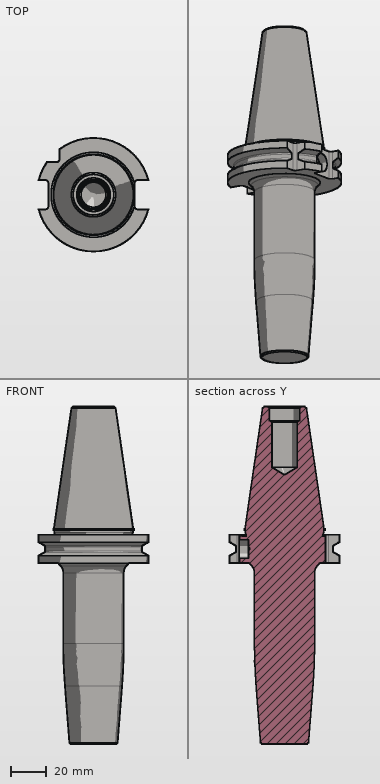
import cadquery as cq
import math

total_length = 188.4
taper_length = 68.4
nose_z = taper_length - total_length

gauge_radius = 22.2
taper_ratio = 7 / 24
tip_radius = gauge_radius - taper_length * taper_ratio / 2
tip_chamfer = 1.0
collar_radius = 22.6
collar_height = 0.8
neck_radius = 22.0
neck_relief_z = -1.7
neck_relief_radius = 21.5

flange_radius = 63.5 / 2
flange_top_z = -3.2
flange_bottom_z = -19.0
groove_mid_z = -11.1
groove_floor_radius = 28.3
groove_floor_half_height = 1.7
groove_floor_fillet = 1.0
groove_wall_angle = 30.0
groove_mouth_half_height = groove_floor_half_height + (
    (flange_radius - groove_floor_radius) * math.tan(math.radians(groove_wall_angle))
)

undercut_radius = 23.7
undercut_depth = 0.8

shank_radius = 17.0
shoulder_radius = 20.0
shoulder_fillet = 5.7
nose_radius = 27.0 / 2
nose_angle = 4.5
nose_chamfer = 0.8
blend_half_length = 11.9
nose_slope = math.tan(math.radians(nose_angle))
nose_cone_top_z = nose_z + (shank_radius - nose_radius) / nose_slope

slot_width = 16.2
left_slot_floor = 25.2
right_slot_floor = 23.0
slot_corner_radius = 1.5
notch_x = -19.0
notch_y = 18.3
notch_corner_radius = 1.5
side_hole_radius = 5.0
side_hole_depth = 5.0
centre_mark_radius = 0.4
centre_mark_depth = 0.5

bore_mouth_radius = 9.5
bore_radius = 8.5
bore_depth = 8.0
thread_mouth_radius = 8.0
thread_radius = 7.0
thread_depth = 34.0
drill_half_angle = 59.0


def revolve_about_z(points):
    """Solid of revolution from (radius, z) points."""
    return cq.Workplane("XZ").polyline(points).close().revolve(360, (0, 0, 0), (0, 1, 0))


def make_taper_and_flange():
    tip_chamfer_z = taper_length - tip_chamfer
    return revolve_about_z([
        (0, taper_length),
        (tip_radius - tip_chamfer, taper_length),
        (tip_radius + tip_chamfer * taper_ratio / 2, tip_chamfer_z),
        (gauge_radius, 0),
        (collar_radius, 0),
        (collar_radius, -collar_height),
        (neck_radius, -collar_height),
        (neck_radius, neck_relief_z),
        (neck_relief_radius, flange_top_z - undercut_depth),
        (undercut_radius, flange_top_z - undercut_depth),
        (undercut_radius, flange_top_z),
        (flange_radius, flange_top_z),
        (flange_radius, flange_bottom_z),
        (0, flange_bottom_z),
    ])


def make_groove():
    return revolve_about_z([
        (flange_radius, groove_mid_z + groove_mouth_half_height),
        (groove_floor_radius, groove_mid_z + groove_floor_half_height),
        (groove_floor_radius, groove_mid_z - groove_floor_half_height),
        (flange_radius, groove_mid_z - groove_mouth_half_height),
    ]).edges(cq.selectors.RadiusNthSelector(0)).fillet(groove_floor_fillet)


def make_shank():
    shoulder_end_z = flange_bottom_z - (shoulder_radius - shank_radius)
    fillet_setback = shoulder_fillet * math.tan(math.radians(45 / 2))
    fillet_offset = fillet_setback * math.cos(math.radians(45))
    blend_offset = blend_half_length * math.sin(math.radians(nose_angle))
    blend_drop = blend_half_length * math.cos(math.radians(nose_angle))
    return (
        cq.Workplane("XZ")
        .moveTo(0, flange_bottom_z)
        .lineTo(shoulder_radius, flange_bottom_z)
        .lineTo(shank_radius + fillet_offset, shoulder_end_z + fillet_offset)
        .tangentArcPoint((shank_radius, shoulder_end_z - fillet_setback), relative=False)
        .lineTo(shank_radius, nose_cone_top_z + blend_half_length)
        .tangentArcPoint((shank_radius - blend_offset, nose_cone_top_z - blend_drop), relative=False)
        .lineTo(nose_radius + nose_chamfer * nose_slope, nose_z + nose_chamfer)
        .lineTo(nose_radius - nose_chamfer, nose_z)
        .lineTo(0, nose_z)
        .close()
        .revolve(360, (0, 0, 0), (0, 1, 0))
    )


def corner_cutter(x_min, x_max, y_min, y_max, rounded_edges, corner_radius):
    """Box through the flange height with rounded inner corners."""
    return (
        cq.Workplane("XY", origin=(0, 0, flange_bottom_z))
        .moveTo((x_min + x_max) / 2, (y_min + y_max) / 2)
        .rect(x_max - x_min, y_max - y_min)
        .extrude(flange_top_z - flange_bottom_z)
        .edges(rounded_edges)
        .fillet(corner_radius)
    )


def make_side_hole():
    """Flat-bottomed hole with a tiny centre mark in its floor."""
    hole_mouth = cq.Workplane("YZ", origin=(-left_slot_floor, 0, groove_mid_z))
    hole = hole_mouth.circle(side_hole_radius).extrude(side_hole_depth)
    return hole.union(hole_mouth.circle(centre_mark_radius).extrude(side_hole_depth + centre_mark_depth))


def make_bore():
    mouth_chamfer = bore_mouth_radius - bore_radius
    thread_chamfer = thread_mouth_radius - thread_radius
    bore_end_z = taper_length - bore_depth
    drill_point = thread_radius / math.tan(math.radians(drill_half_angle))
    thread_end_z = taper_length - thread_depth
    return revolve_about_z([
        (0, taper_length),
        (bore_mouth_radius, taper_length),
        (bore_radius, taper_length - mouth_chamfer),
        (bore_radius, bore_end_z),
        (thread_mouth_radius, bore_end_z),
        (thread_radius, bore_end_z - thread_chamfer),
        (thread_radius, thread_end_z),
        (0, thread_end_z - drill_point),
    ])


half_slot = slot_width / 2
left_slot = corner_cutter(
    -flange_radius, -left_slot_floor, -half_slot, half_slot, "|Z and >X", slot_corner_radius
)
right_slot = corner_cutter(
    right_slot_floor, flange_radius, -half_slot, half_slot, "|Z and <X", slot_corner_radius
)
index_notch = corner_cutter(
    -flange_radius, notch_x, notch_y, flange_radius, "|Z and >X and <Y", notch_corner_radius
)

result = make_taper_and_flange().union(make_shank())
cutters = [make_groove(), left_slot, right_slot, index_notch, make_side_hole(), make_bore()]
for cutter in cutters:
    result = result.cut(cutter)